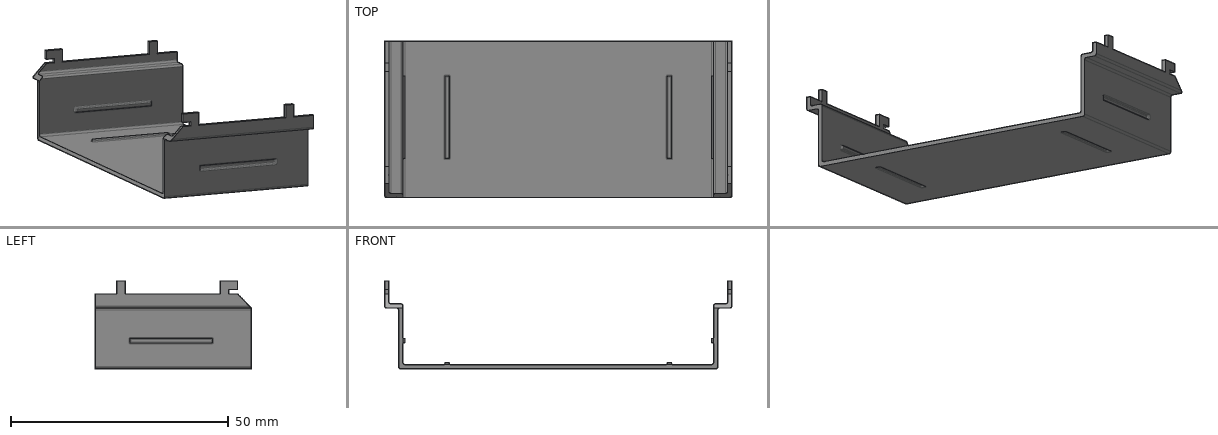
import cadquery as cq

overall_width = 80.0
length = 36.0
overall_height = 20.2

bend_radius = 0.5
sheet = 2 * bend_radius
tray_width = 73.5
shelf_underside = 14.0

lug_height = 3.0
lug_width = 2.0
rear_lug_inset = 5.0
hook_reach = 2.0
hook_gap = 1.0
front_cut_back = 3.2

bead_length = 19.0
bead_width = 1.0
bead_height = 0.51
bead_radius = 0.22
bead_y = 0.5
base_bead_x = 25.6
wall_bead_z = 6.5

half_width = overall_width / 2
half_tray = tray_width / 2
half_length = length / 2
shelf_top = shelf_underside + sheet
flange_top = overall_height - lug_height


def make_sheet_body():
    """Folded section: base, side walls, outward shelves and upright flanges, with rounded bends."""
    right_outer = [
        (half_tray, 0),
        (half_tray, shelf_underside),
        (half_width, shelf_underside),
        (half_width, overall_height),
    ]
    right_inner = [
        (half_width - sheet, overall_height),
        (half_width - sheet, shelf_top),
        (half_tray - sheet, shelf_top),
        (half_tray - sheet, sheet),
    ]
    right_side = right_outer + right_inner
    left_side = [(-x, z) for x, z in reversed(right_side)]
    body = (
        cq.Workplane("XZ")
        .polyline(right_side + left_side)
        .close()
        .extrude(half_length, both=True)
    )
    bends = cq.selectors.BoxSelector(
        (-overall_width, -length, -sheet),
        (overall_width, length, flange_top),
    )
    return body.edges("|Y").edges(bends).fillet(bend_radius)


def make_side_trim():
    """Side outline, extruded across the whole width, that leaves the lugs and the sloping front cut."""
    rear_lug_back = half_length - rear_lug_inset
    rear_lug_front = rear_lug_back - lug_width
    hook_tip = front_cut_back - half_length
    stem_front = hook_tip + hook_reach
    stem_back = stem_front + lug_width
    outline = [
        (half_length, 0),
        (half_length, flange_top),
        (rear_lug_back, flange_top),
        (rear_lug_back, overall_height),
        (rear_lug_front, overall_height),
        (rear_lug_front, flange_top),
        (stem_back, flange_top),
        (stem_back, overall_height),
        (hook_tip, overall_height),
        (hook_tip, flange_top + hook_gap),
        (stem_front, flange_top + hook_gap),
        (stem_front, flange_top),
        (hook_tip, flange_top),
        (-half_length, shelf_underside),
        (-half_length, 0),
    ]
    return cq.Workplane("YZ").polyline(outline).close().extrude(half_width, both=True)


def make_bead():
    """Bead along Y rising from Z = 0, rounded at top and foot, on a pad half a sheet thick."""
    pad_margin = 4 * bead_radius
    pad_depth = sheet / 2
    pad = (
        cq.Workplane("XY")
        .rect(bead_width + pad_margin, bead_length + pad_margin)
        .extrude(-pad_depth)
    )
    ridge = (
        cq.Workplane("XY")
        .rect(bead_width, bead_length)
        .extrude(bead_height)
        .edges("|Z")
        .fillet(bead_radius)
    )
    foot_x = (bead_width + bead_radius) / 2
    foot_y = (bead_length + bead_radius) / 2
    foot_edges = cq.selectors.BoxSelector(
        (-foot_x, -foot_y, -bead_radius / 2),
        (foot_x, foot_y, bead_radius / 2),
    )
    bead = pad.union(ridge).edges(foot_edges).fillet(bead_radius)
    return bead.faces(">Z").edges().fillet(bead_radius)


def emboss(body, bead, inward):
    """Raise the bead on the inner face and press the matching groove into the outer face."""
    outward_shift = tuple(-sheet * component for component in inward)
    return body.union(bead).cut(bead.translate(outward_shift))


result = make_sheet_body().intersect(make_side_trim())

for side in (-1, 1):
    base_bead = make_bead().translate((side * base_bead_x, bead_y, sheet))
    result = emboss(result, base_bead, (0, 0, 1))

    wall_bead = (
        make_bead()
        .rotate((0, 0, 0), (0, 1, 0), -side * 90)
        .translate((side * (half_tray - sheet), bead_y, wall_bead_z))
    )
    result = emboss(result, wall_bead, (-side, 0, 0))

result = result.solids()